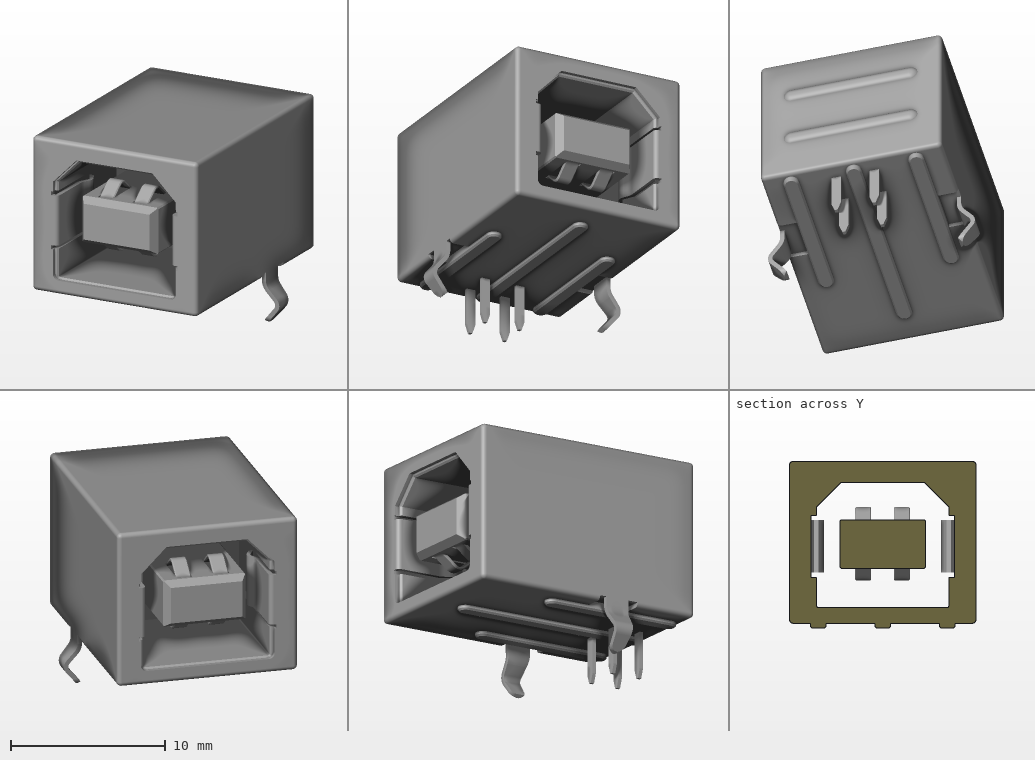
import cadquery as cq
import math

WIDTH = 12.11
DEPTH = 16.27
HEIGHT = 10.51
SHEET = 0.3

OPENING_HALF = 4.5
OPENING_BOTTOM = 0.94
OPENING_TOP = 9.35
TOP_CORNER = 1.75
BOTTOM_RADIUS = 0.41
MOUTH_BOTTOM_RADIUS = 0.2
MOUTH_INSET = 0.13
MOUTH_CHAMFER = 0.12
CAVITY_END = 9.0

SPRING_MID_Z = 4.98
SPRING_HEIGHT = 3.4
RELIEF_GAP = 0.28
RELIEF_HALF = 4.64
SPRING_FACE = 4.14
SPRING_CREST = 3.71
SPRING_RADIUS = 0.66
SPRING_BEND_Y = 3.3
SPRING_CREST_Y = 4.12

TONGUE_WIDTH = 5.55
TONGUE_HEIGHT = 3.17
TONGUE_MID_Z = 5.15
TONGUE_TIP_Y = 0.3
TIP_CHAMFER = 0.36
TIP_CHAMFER_LENGTH = 0.55
TONGUE_EDGE = 0.1

CONTACT_X = 1.25
CONTACT_WIDTH = 1.02
CONTACT_RISE = 0.84
CONTACT_START_Y = 1.2
CONTACT_RUN = 1.4
CONTACT_SHEET = 0.2
CONTACT_CREST_RADIUS = 0.66
CONTACT_BEVEL = 0.07
GROOVE_DEPTH = 0.1
GROOVE_START_Y = 1.04

RIB_X = 4.17
RIB_WIDTH = 1.02
RIB_DROP = 0.3
RIB_EDGE = 0.12
RIB_REAR_Y = 15.94
SIDE_RIB_FRONT_Y = 6.02
MIDDLE_RIB_FRONT_Y = 2.03

PIN_X = 1.27
PIN_ROWS_Y = (13.02, 15.02)
PIN_WIDTH = 0.63
PIN_THICKNESS = 0.25
PIN_LENGTH = 3.09
PIN_TAPER = 0.61
PIN_TIP_WIDTH = 0.2

LEG_Y = 10.33
LEG_ROOT_WIDTH = 1.68
LEG_END_WIDTH = 1.02
LEG_BOTTOM = -3.28
LEG_BEND_Z = -0.33
LEG_ANGLE = math.radians(40)
LEG_UPPER_RADIUS = 0.99
LEG_LOWER_RADIUS = 0.51
LEG_REACH = 6.91
LEG_RELIEF_FRONT_Y = 9.01
LEG_RELIEF_REAR_Y = 11.88

BEAD_HEIGHTS = (3.3, 7.28)
BEAD_RISE = 0.23
BEAD_HALF_WIDTH = 0.5
BEAD_HALF_LENGTH = 4.45


def box(x_min, x_max, y_min, y_max, z_min, z_max):
    size = (x_max - x_min, y_max - y_min, z_max - z_min)
    return cq.Workplane("XY").box(*size, centered=False).translate((x_min, y_min, z_min))


def with_mirror(shape):
    """The shape together with its twin across the middle plane."""
    return shape.union(shape.mirror("YZ"))


def front_plane(y):
    """Plane at y with local x along +X and local y along +Z; extrusions run toward +Y when negative."""
    return cq.Workplane("XZ", origin=(0, y, 0))


def opening_outline(y, inset, bottom_radius):
    half = OPENING_HALF - inset
    top = OPENING_TOP - inset
    bottom = OPENING_BOTTOM
    corner = TOP_CORNER - inset
    return (
        front_plane(y)
        .moveTo(bottom_radius - half, bottom)
        .lineTo(half - bottom_radius, bottom)
        .radiusArc((half, bottom + bottom_radius), -bottom_radius)
        .lineTo(half, top - corner)
        .lineTo(half - corner, top)
        .lineTo(corner - half, top)
        .lineTo(-half, top - corner)
        .lineTo(-half, bottom + bottom_radius)
        .radiusArc((bottom_radius - half, bottom), -bottom_radius)
        .close()
    )


def make_shell():
    shell = box(-WIDTH / 2, WIDTH / 2, 0, DEPTH, 0, HEIGHT)
    return shell.edges().fillet(SHEET)


def make_cavity():
    shell_cut = opening_outline(0, 0, BOTTOM_RADIUS).extrude(-SHEET)
    mouth = opening_outline(SHEET, MOUTH_INSET, MOUTH_BOTTOM_RADIUS).extrude(-MOUTH_CHAMFER, taper=45)
    throat_start = SHEET + MOUTH_CHAMFER
    throat = mouth.faces(">Y").wires().toPending().workplane().extrude(CAVITY_END - throat_start)
    slot_half_height = SPRING_HEIGHT / 2 + RELIEF_GAP
    spring_slots = box(
        -RELIEF_HALF, RELIEF_HALF, 0, CAVITY_END,
        SPRING_MID_Z - slot_half_height, SPRING_MID_Z + slot_half_height,
    )
    return shell_cut.union(mouth).union(throat).union(spring_slots)


def make_springs():
    """Tongues folded in from the shell front, each with an inward crest near its tip."""
    outer = SPRING_FACE + SHEET
    corner = SHEET * (1 - math.sqrt(0.5))
    tip_y = 2 * SPRING_CREST_Y - SPRING_BEND_Y
    spring = (
        cq.Workplane("XY", origin=(0, 0, SPRING_MID_Z))
        .moveTo(RELIEF_HALF, 0)
        .lineTo(outer, 0)
        .threePointArc((SPRING_FACE + corner, corner), (SPRING_FACE, SHEET))
        .lineTo(SPRING_FACE, SPRING_BEND_Y)
        .lineTo(SPRING_CREST, SPRING_CREST_Y)
        .lineTo(SPRING_FACE, tip_y)
        .lineTo(outer, tip_y)
        .lineTo(SPRING_CREST + SHEET, SPRING_CREST_Y)
        .lineTo(outer, SPRING_BEND_Y)
        .lineTo(outer, SHEET)
        .lineTo(RELIEF_HALF, SHEET)
        .close()
        .extrude(SPRING_HEIGHT / 2, both=True)
    )
    for bend in ((SPRING_FACE, SPRING_BEND_Y), (SPRING_CREST, SPRING_CREST_Y)):
        bend_edge = cq.NearestToPointSelector((*bend, SPRING_MID_Z))
        spring = spring.edges(bend_edge).fillet(SPRING_RADIUS)
    return with_mirror(spring)


def make_tongue():
    half_width = TONGUE_WIDTH / 2
    half_height = TONGUE_HEIGHT / 2
    tongue = box(
        -half_width, half_width, TONGUE_TIP_Y, CAVITY_END,
        TONGUE_MID_Z - half_height, TONGUE_MID_Z + half_height,
    )
    tongue = tongue.edges("|Y").chamfer(TONGUE_EDGE)
    tip = (
        front_plane(TONGUE_TIP_Y)
        .center(0, TONGUE_MID_Z)
        .rect(TONGUE_WIDTH - 2 * TIP_CHAMFER, TONGUE_HEIGHT - 2 * TIP_CHAMFER)
        .workplane(offset=-TIP_CHAMFER_LENGTH)
        .rect(TONGUE_WIDTH, TONGUE_HEIGHT)
        .loft()
    )
    behind_tip = box(
        -half_width, half_width, TONGUE_TIP_Y + TIP_CHAMFER_LENGTH, CAVITY_END,
        TONGUE_MID_Z - half_height, TONGUE_MID_Z + half_height,
    )
    return tongue.intersect(tip.union(behind_tip))


def four_contacts(part):
    """Copies of a part built at x = 0 on top of the tongue, two above and two below."""
    upper = with_mirror(part.translate((CONTACT_X, 0, 0)))
    return upper.union(upper.mirror("XY", (0, 0, TONGUE_MID_Z)))


def make_grooves():
    half_width = CONTACT_WIDTH / 2
    surface = TONGUE_MID_Z + TONGUE_HEIGHT / 2
    end_y = CONTACT_START_Y + 2 * CONTACT_RUN
    return four_contacts(
        box(-half_width, half_width, GROOVE_START_Y, end_y, surface - GROOVE_DEPTH, surface)
    )


def make_contacts():
    """Bent strips that rise from the grooves to a rounded crest."""
    base = TONGUE_MID_Z + TONGUE_HEIGHT / 2 - GROOVE_DEPTH
    rise = CONTACT_RISE + GROOVE_DEPTH
    crest_y = CONTACT_START_Y + CONTACT_RUN
    end_y = crest_y + CONTACT_RUN
    slope = rise / CONTACT_RUN
    apex = base + rise + CONTACT_CREST_RADIUS * (math.hypot(1, slope) - 1)
    foot = CONTACT_SHEET / slope
    strip = (
        cq.Workplane("YZ")
        .polyline([
            (CONTACT_START_Y, base),
            (crest_y, apex),
            (end_y, base),
            (end_y - foot, base),
            (crest_y, apex - CONTACT_SHEET),
            (CONTACT_START_Y + foot, base),
        ])
        .close()
        .extrude(CONTACT_WIDTH / 2, both=True)
    )
    inner_crest = cq.NearestToPointSelector((0, crest_y, apex - CONTACT_SHEET))
    strip = strip.edges(inner_crest).fillet(CONTACT_CREST_RADIUS - CONTACT_SHEET)
    strip = strip.edges(">Z").fillet(CONTACT_CREST_RADIUS)
    strip = strip.faces(">Z").edges("not |X").chamfer(CONTACT_BEVEL)
    return four_contacts(strip)


def make_rib(x, front_y):
    length = RIB_REAR_Y - front_y
    return (
        cq.Workplane("XY", origin=(x, front_y + length / 2, SHEET))
        .slot2D(length, RIB_WIDTH, 90)
        .extrude(-RIB_DROP - SHEET)
        .faces("<Z")
        .edges()
        .chamfer(RIB_EDGE)
    )


def make_pin(x, y):
    half_width = PIN_WIDTH / 2
    half_tip = PIN_TIP_WIDTH / 2
    taper_z = PIN_TAPER - PIN_LENGTH
    outline = [
        (x - half_width, SHEET),
        (x + half_width, SHEET),
        (x + half_width, taper_z),
        (x + half_tip, -PIN_LENGTH),
        (x - half_tip, -PIN_LENGTH),
        (x - half_width, taper_z),
    ]
    return front_plane(y).polyline(outline).close().extrude(PIN_THICKNESS / 2, both=True)


def make_legs():
    """Bent strips: straight down, outward, and back in, narrowing to a rounded end."""
    sin_a = math.sin(LEG_ANGLE)
    cos_a = math.cos(LEG_ANGLE)
    sin_half = math.sin(LEG_ANGLE / 2)
    cos_half = math.cos(LEG_ANGLE / 2)
    upper_r = LEG_UPPER_RADIUS
    lower_r = LEG_LOWER_RADIUS
    root_x = (WIDTH - SHEET) / 2
    bulge_x = LEG_REACH - SHEET / 2
    slant_dx = bulge_x - root_x - (upper_r + lower_r) * (1 - cos_a)
    slant_dz = slant_dx / math.tan(LEG_ANGLE)

    slant_start = (root_x + upper_r * (1 - cos_a), LEG_BEND_Z - upper_r * sin_a)
    slant_end = (slant_start[0] + slant_dx, slant_start[1] - slant_dz)
    bulge_z = slant_end[1] - lower_r * sin_a
    return_start = (slant_end[0], bulge_z - lower_r * sin_a)
    tip_z = LEG_BOTTOM + SHEET / 2 * sin_a
    tip = (return_start[0] - (return_start[1] - tip_z) * math.tan(LEG_ANGLE), tip_z)
    path = (
        cq.Workplane("XZ", origin=(0, LEG_Y, 0))
        .moveTo(root_x, SHEET)
        .lineTo(root_x, LEG_BEND_Z)
        .threePointArc((root_x + upper_r * (1 - cos_half), LEG_BEND_Z - upper_r * sin_half), slant_start)
        .lineTo(*slant_end)
        .threePointArc((bulge_x, bulge_z), return_start)
        .lineTo(*tip)
    )
    strip = (
        cq.Workplane("XY", origin=(root_x, LEG_Y, SHEET))
        .rect(SHEET, LEG_ROOT_WIDTH)
        .sweep(path)
    )
    half_root = LEG_ROOT_WIDTH / 2
    half_end = LEG_END_WIDTH / 2
    outline = (
        cq.Workplane("YZ", origin=(0, LEG_Y, 0))
        .moveTo(-half_root, SHEET)
        .lineTo(half_root, SHEET)
        .lineTo(half_root, LEG_BEND_Z)
        .lineTo(half_end, LEG_BOTTOM + half_end)
        .threePointArc((0, LEG_BOTTOM), (-half_end, LEG_BOTTOM + half_end))
        .lineTo(-half_root, LEG_BEND_Z)
        .close()
        .extrude(LEG_REACH)
    )
    return with_mirror(strip.intersect(outline))


def make_leg_reliefs():
    """Notches in the bottom sheet beside the legs, reaching in to the side ribs."""
    relief = box(
        RIB_X, WIDTH / 2, LEG_RELIEF_FRONT_Y, LEG_RELIEF_REAR_Y, 0, SHEET,
    )
    return with_mirror(relief)


def make_bead(z):
    """Long shallow bead on the rear face with ball ends."""
    radius = (BEAD_HALF_WIDTH**2 + BEAD_RISE**2) / (2 * BEAD_RISE)
    centre_y = DEPTH + BEAD_RISE - radius
    ball_x = BEAD_HALF_LENGTH - BEAD_HALF_WIDTH
    bead = cq.Workplane("YZ", origin=(0, centre_y, z)).circle(radius).extrude(ball_x, both=True)
    ball = cq.Workplane("XY").sphere(radius).translate((ball_x, centre_y, z))
    bead = bead.union(with_mirror(ball))
    cap = box(-WIDTH / 2, WIDTH / 2, DEPTH - BEAD_RISE, DEPTH + BEAD_RISE, 0, HEIGHT)
    return bead.intersect(cap)


result = make_shell().cut(make_cavity()).cut(make_leg_reliefs())
result = result.union(make_springs()).union(make_tongue().cut(make_grooves())).union(make_contacts())
result = result.union(make_rib(0, MIDDLE_RIB_FRONT_Y))
for side in (-1, 1):
    result = result.union(make_rib(side * RIB_X, SIDE_RIB_FRONT_Y))
    for row_y in PIN_ROWS_Y:
        result = result.union(make_pin(side * PIN_X, row_y))
for bead_z in BEAD_HEIGHTS:
    result = result.union(make_bead(bead_z))
result = result.union(make_legs())